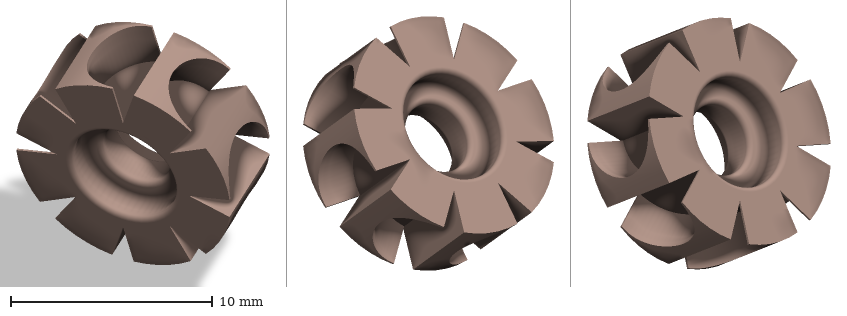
import cadquery as cq
import math

width = 4.9
span = 11.6
tooth_count = 8
notch_angle = 30.0
notch_root_radius = 3.61

seat_radius = 2.33

bore_radius = 1.82
counterbore_radius = 2.84
counterbore_depth = 1.51
edge_round = 0.25

half_angle = math.radians(notch_angle / 2)
half_span = span / 2
notch_half_width = (half_span - notch_root_radius) * math.tan(half_angle)
outer_radius = math.hypot(half_span, notch_half_width)
cut_length = outer_radius


def make_blank():
    return cq.Workplane("XZ").circle(outer_radius).extrude(width / 2, both=True)


def make_notch():
    """V-shaped prism at the top of the rim, through the full width."""
    reach = cut_length * math.tan(half_angle)
    top = notch_root_radius + cut_length
    return (
        cq.Workplane("XZ")
        .polyline([(0, notch_root_radius), (reach, top), (-reach, top)])
        .close()
        .extrude(width / 2, both=True)
    )


def make_seat():
    """Half cylinder rising along the -X wall of the top notch from its root."""
    return (
        cq.Workplane("XY")
        .moveTo(0, seat_radius)
        .threePointArc((-seat_radius, 0), (0, -seat_radius))
        .close()
        .extrude(cut_length)
        .rotate((0, 0, 0), (0, 1, 0), -notch_angle / 2)
        .translate((0, 0, notch_root_radius))
    )


def make_half_bore():
    """Revolved cutter for the front half: bore opening into a rounded counterbore."""
    front = -width / 2
    floor = front + counterbore_depth
    near = edge_round * (1 - math.sqrt(0.5))
    profile = (
        cq.Workplane("XY")
        .moveTo(0, front)
        .lineTo(counterbore_radius + edge_round, front)
        .threePointArc(
            (counterbore_radius + near, front + near),
            (counterbore_radius, front + edge_round),
        )
        .lineTo(counterbore_radius, floor - edge_round)
        .threePointArc(
            (counterbore_radius - near, floor - near),
            (counterbore_radius - edge_round, floor),
        )
        .lineTo(bore_radius + edge_round, floor)
        .threePointArc(
            (bore_radius + near, floor + near),
            (bore_radius, floor + edge_round),
        )
        .lineTo(bore_radius, 0)
        .lineTo(0, 0)
        .close()
    )
    return profile.revolve(360, (0, 0, 0), (0, 1, 0))


half_bore = make_half_bore()
bore = half_bore.union(half_bore.mirror("XZ")).clean()
result = make_blank().cut(bore)
notch = make_notch()
seat = make_seat()
for index in range(tooth_count):
    turn = index * 360 / tooth_count
    for cutter in (notch, seat):
        result = result.cut(cutter.rotate((0, 0, 0), (0, 1, 0), turn))